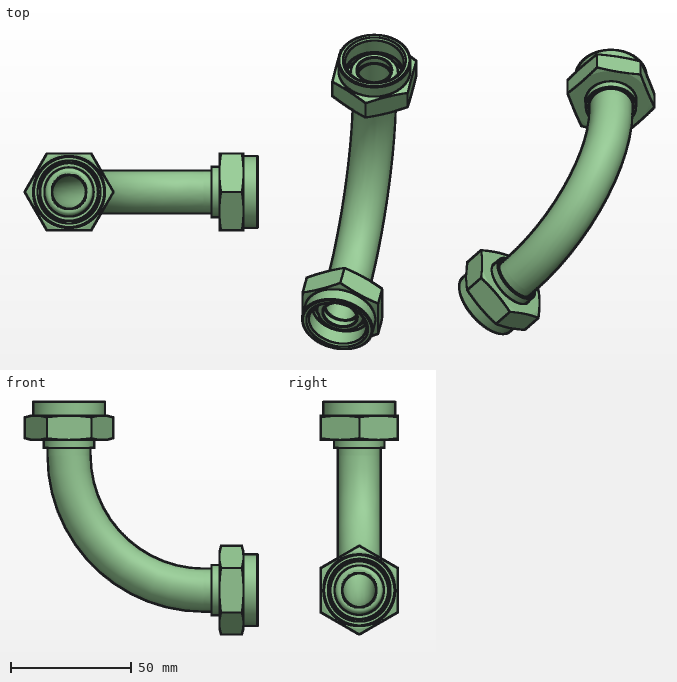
import cadquery as cq
import math

overall_size = 97.0
hex_across_flats = 32.0
hex_across_corners = hex_across_flats / math.cos(math.radians(30))
leg_length = overall_size - hex_across_corners / 2

bend_radius = 56.0
bend_diameter = 18.0
bore_diameter = 14.0

neck_diameter = bend_diameter
collar_diameter = 21.0
collar_depth = 19.4
collar_countersink_diameter = 19.0
collar_countersink_depth = 0.5
flange_diameter = 24.0
flange_depth = 10.4
nose_base_diameter = 20.6
nose_shoulder_depth = 7.0
nose_shoulder_diameter = 19.6
nose_tip_diameter = 16.6
nose_depth = 5.6
lip_diameter = 14.4
lip_length = 0.5
mouth_bore_diameter = 15.0
mouth_bore_length = 4.0

nut_length = 16.0
nut_sleeve_diameter = 30.0
nut_sleeve_length = 6.0
nut_sleeve_chamfer = 0.4
nut_bore_diameter = 24.3
nut_mouth_diameter = 26.2
nut_mouth_chamfer = (nut_mouth_diameter - nut_bore_diameter) / 2
nut_thread_depth = 8.0
nut_seat_depth = 13.1
nut_hole_diameter = 21.4
hex_bevel_angle = 15.0


def turned(points):
    """Revolve a closed (radius, height) profile about the Z axis."""
    return cq.Workplane("XZ").polyline(points).close().revolve(360, (0, 0, 0), (0, 1, 0))


def to_second_end(body):
    """Swap X and Z, carrying a body from the upright leg to the level leg."""
    return body.mirror("XY").rotate((0, 0, 0), (0, 1, 0), -90)


def make_tube_end():
    """Hollow end of the upright leg, from the bend to the sealing nose."""
    neck_radius = neck_diameter / 2
    collar_radius = collar_diameter / 2
    flange_radius = flange_diameter / 2
    lip_radius = lip_diameter / 2
    mouth_bore_radius = mouth_bore_diameter / 2
    bore_radius = bore_diameter / 2
    collar_z = leg_length - collar_depth
    seat_z = leg_length - nut_seat_depth
    flange_z = leg_length - flange_depth
    nose_z = leg_length - nose_depth
    lip_z = nose_z - lip_length
    ledge_z = nose_z - mouth_bore_length
    base_radius = nose_base_diameter / 2
    shoulder_radius = nose_shoulder_diameter / 2
    shoulder_z = leg_length - nose_shoulder_depth
    return (
        cq.Workplane("XZ")
        .moveTo(bore_radius, bend_radius)
        .lineTo(neck_radius, bend_radius)
        .lineTo(neck_radius, collar_z + collar_countersink_depth)
        .lineTo(collar_countersink_diameter / 2, collar_z)
        .lineTo(collar_radius, collar_z)
        .lineTo(collar_radius, seat_z)
        .lineTo(flange_radius, seat_z)
        .lineTo(flange_radius, flange_z)
        .lineTo(base_radius, flange_z)
        .lineTo(shoulder_radius, shoulder_z)
        .tangentArcPoint((nose_tip_diameter / 2, nose_z), relative=False)
        .lineTo(lip_radius, nose_z)
        .lineTo(lip_radius, lip_z)
        .lineTo(mouth_bore_radius, lip_z)
        .lineTo(mouth_bore_radius, ledge_z)
        .lineTo(bore_radius, ledge_z)
        .close()
        .revolve(360, (0, 0, 0), (0, 1, 0))
    )


def make_bend():
    """Quarter-circle tube joining the two straight ends."""
    return (
        cq.Workplane("XY", origin=(0, 0, bend_radius))
        .circle(bend_diameter / 2)
        .circle(bore_diameter / 2)
        .revolve(90, (bend_radius, 0, 0), (bend_radius, -1, 0))
    )


def make_tube():
    end = make_tube_end()
    return make_bend().union(end).union(to_second_end(end))


def make_hex():
    """Hexagon with both rims bevelled down from the inscribed circle."""
    height = nut_length - nut_sleeve_length
    flat_radius = hex_across_flats / 2
    corner_radius = hex_across_corners / 2
    bevel = (corner_radius - flat_radius) * math.tan(math.radians(hex_bevel_angle))
    bottom = leg_length - nut_length
    top = bottom + height
    prism = (
        cq.Workplane("XY", origin=(0, 0, bottom))
        .polygon(6, hex_across_corners)
        .extrude(height)
    )
    bevel_envelope = turned([
        (0, bottom),
        (flat_radius, bottom),
        (corner_radius, bottom + bevel),
        (corner_radius, top - bevel),
        (flat_radius, top),
        (0, top),
    ])
    return prism.intersect(bevel_envelope)


def make_nut():
    """Union nut on the upright leg, bored for the flange and the collar."""
    sleeve = (
        cq.Workplane("XY", origin=(0, 0, leg_length - nut_sleeve_length))
        .circle(nut_sleeve_diameter / 2)
        .extrude(nut_sleeve_length)
        .faces(">Z")
        .chamfer(nut_sleeve_chamfer)
    )
    bore_radius = nut_bore_diameter / 2
    flange_radius = flange_diameter / 2
    hole_radius = nut_hole_diameter / 2
    bottom = leg_length - nut_length
    seat_z = leg_length - nut_seat_depth
    thread_z = leg_length - nut_thread_depth
    bore = turned([
        (0, bottom),
        (hole_radius, bottom),
        (hole_radius, seat_z),
        (flange_radius, seat_z),
        (flange_radius, thread_z),
        (bore_radius, thread_z),
        (bore_radius, leg_length - nut_mouth_chamfer),
        (nut_mouth_diameter / 2, leg_length),
        (0, leg_length),
    ])
    return make_hex().union(sleeve).cut(bore)


tube = make_tube()
nut = make_nut()
nuts = [nut, to_second_end(nut)]

result = cq.Compound.makeCompound([tube.val(), *[each_nut.val() for each_nut in nuts]])